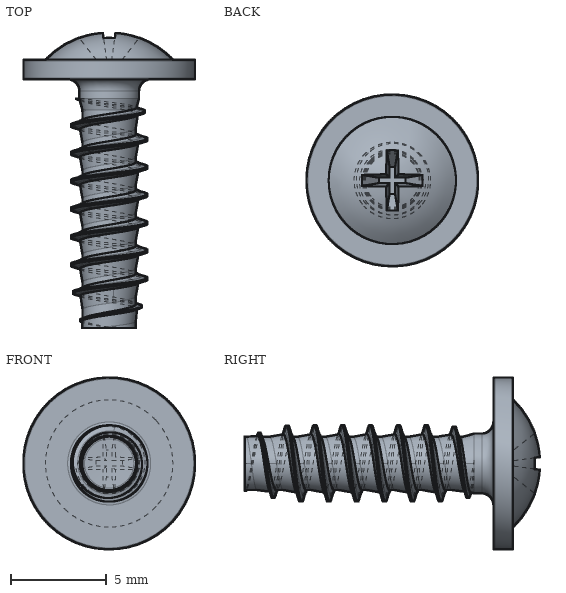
import cadquery as cq
import math


flange_radius = 4.5
flange_thickness = 1.04
flange_edge_fillet = 0.08
dome_base_radius = 3.33
dome_top = 2.46

recess_mouth_length = 3.6
recess_mouth_width = 0.66
recess_floor_length = 1.4
recess_floor_width = 0.28
recess_depth = 1.4

shank_length = 13.0
core_radius = 1.4
neck_radius = 1.57
neck_length = 1.0
neck_fillet = 0.6
neck_taper_end = 1.6
tip_dish_radius = 1.29
tip_dish_depth = 0.06

thread_radius = 2.0
thread_pitch = 1.457
knee_radius = 1.70
foot_radius = 1.53
flank_end_radius = 1.37
floor_radius = 1.34
crest_half_width = 0.05
knee_half_width = 0.13
head_flank_offset = 0.285
foot_offset = 0.20
cone_end_offset = 1.08
points_per_turn = 16

crest_depth_at_plus_x = 3.135
thread_stations = [
    (0.0, 0.29),
    (2.41, 1.0),
    (10.75, 1.0),
    (13.08, 0.02),
]


def revolve_about_y(profile):
    return profile.revolve(360, (0, 0, 0), (0, 1, 0))


def make_head():
    """Flange disc with rounded rims and a spherical dome on top."""
    flange = cq.Workplane("XZ").circle(flange_radius).extrude(-flange_thickness)
    flange = flange.edges().fillet(flange_edge_fillet)

    dome_height = dome_top - flange_thickness
    sphere_radius = (dome_base_radius**2 + dome_height**2) / (2 * dome_height)
    sphere_center = dome_top - sphere_radius
    arc_mid_angle = math.asin(dome_base_radius / sphere_radius) / 2
    arc_mid = (
        sphere_radius * math.sin(arc_mid_angle),
        sphere_center + sphere_radius * math.cos(arc_mid_angle),
    )
    dome = revolve_about_y(
        cq.Workplane("XY")
        .moveTo(0, 0)
        .lineTo(dome_base_radius, 0)
        .lineTo(dome_base_radius, flange_thickness)
        .threePointArc(arc_mid, (0, dome_top))
        .close()
    )
    return flange.union(dome)


def make_recess_slot():
    """One slot of the cross recess, running along X, with drafted sides and ends."""
    return (
        cq.Workplane("XZ", origin=(0, dome_top, 0))
        .rect(recess_mouth_length, recess_mouth_width)
        .workplane(offset=recess_depth)
        .rect(recess_floor_length, recess_floor_width)
        .loft(ruled=True)
    )


def make_shank():
    """Filleted neck, taper, plain core and a shallow conical dish in the tip."""
    fillet_center_x = neck_radius + neck_fillet
    fillet_mid_shift = neck_fillet * math.sqrt(0.5)
    fillet_mid = (fillet_center_x - fillet_mid_shift, fillet_mid_shift - neck_fillet)
    return revolve_about_y(
        cq.Workplane("XY")
        .moveTo(0, flange_thickness / 2)
        .lineTo(fillet_center_x, flange_thickness / 2)
        .lineTo(fillet_center_x, 0)
        .threePointArc(fillet_mid, (neck_radius, -neck_fillet))
        .lineTo(neck_radius, -neck_length)
        .lineTo(core_radius, -neck_taper_end)
        .lineTo(core_radius, -shank_length)
        .lineTo(tip_dish_radius, -shank_length)
        .lineTo(0, tip_dish_depth - shank_length)
        .close()
    )


thread_section = [
    (-head_flank_offset, floor_radius),
    (-head_flank_offset, flank_end_radius),
    (-knee_half_width, knee_radius),
    (-crest_half_width, thread_radius),
    (crest_half_width, thread_radius),
    (knee_half_width, knee_radius),
    (foot_offset, foot_radius),
    (cone_end_offset, flank_end_radius),
    (cone_end_offset, floor_radius),
]


def thread_point(corner, depth, tooth_share):
    """Place one corner of the thread section where the crest is at the given depth."""
    offset, radius = corner
    if offset < cone_end_offset:
        offset *= tooth_share
    if radius > core_radius:
        radius = core_radius + (radius - core_radius) * tooth_share
    angle = 2 * math.pi * (crest_depth_at_plus_x - depth) / thread_pitch
    return cq.Vector(radius * math.cos(angle), -depth - offset, -radius * math.sin(angle))


def thread_edge(corner, start, end):
    """Helical edge swept by one section corner between two thread stations."""
    start_depth, start_share = start
    end_depth, end_share = end
    count = math.ceil(points_per_turn * (end_depth - start_depth) / thread_pitch)
    points = []
    for index in range(count + 1):
        part_way = index / count
        depth = start_depth + part_way * (end_depth - start_depth)
        share = start_share + part_way * (end_share - start_share)
        points.append(thread_point(corner, depth, share))
    return cq.Edge.makeSpline(points)


def thread_end_face(station):
    corners = [thread_point(corner, *station) for corner in thread_section]
    return cq.Face.makeFromWires(cq.Wire.makePolygon(corners, close=True))


def make_thread():
    """Helical ridge that grows below the neck and fades out at the tip."""
    faces = [thread_end_face(thread_stations[0]), thread_end_face(thread_stations[-1])]
    for start, end in zip(thread_stations, thread_stations[1:]):
        edges = [thread_edge(corner, start, end) for corner in thread_section]
        for index, edge in enumerate(edges):
            faces.append(cq.Face.makeRuledSurface(edges[index - 1], edge))
    ridge = cq.Solid.makeSolid(cq.Shell.makeShell(faces))
    threaded_zone = (
        cq.Workplane("XZ", origin=(0, -neck_length, 0))
        .circle(2 * thread_radius)
        .extrude(shank_length - neck_length)
    )
    return threaded_zone.intersect(cq.Workplane(ridge))


recess_slot = make_recess_slot()
head = make_head().cut(recess_slot).cut(recess_slot.rotate((0, 0, 0), (0, 1, 0), 90))
screw = head.union(make_shank()).union(make_thread())
result = cq.Workplane(screw.solids().val())